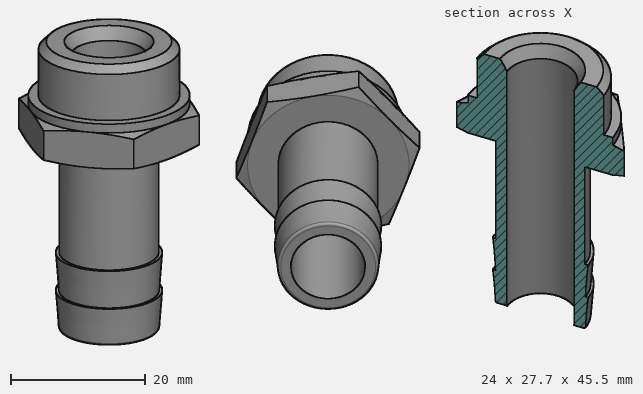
import cadquery as cq
import math

total_length = 45.5
bore_diameter = 11.0

stem_diameter = 14.8
barb_diameter = 15.85
barb_tip_diameter = 14.92
barb_pitch = 6.0
barb_count = 2
tip_fillet = 0.45

hex_across_flats = 24.0
hex_bottom = 29.95
collar_bottom = 35.6
collar_top = 37.0
hex_chamfer_angle = 15.0

thread_diameter = 20.98
thread_chamfer = 1.2
countersink_diameter = 13.3
countersink_angle = 60.0

hex_across_corners = hex_across_flats / math.cos(math.radians(30))
countersink_widening = (countersink_diameter - bore_diameter) / 2
countersink_depth = countersink_widening / math.tan(math.radians(countersink_angle / 2))


def cylinder(diameter, bottom, top):
    return cq.Workplane("XY").workplane(offset=bottom).circle(diameter / 2).extrude(top - bottom)


def cone(bottom_diameter, top_diameter, bottom, top):
    profile = [
        (0, bottom),
        (bottom_diameter / 2, bottom),
        (top_diameter / 2, top),
        (0, top),
    ]
    return cq.Workplane("XZ").polyline(profile).close().revolve(360, (0, 0, 0), (0, 1, 0))


def hexagon():
    """Hexagon with flats facing X, its corners trimmed by a cone at both ends."""
    prism = (
        cq.Workplane("XY")
        .workplane(offset=hex_bottom)
        .transformed(rotate=(0, 0, 90))
        .polygon(6, hex_across_corners)
        .extrude(collar_bottom - hex_bottom)
    )
    flat_radius = hex_across_flats / 2
    corner_radius = hex_across_corners / 2
    corner_drop = (corner_radius - flat_radius) * math.tan(math.radians(hex_chamfer_angle))
    trim_profile = [
        (0, hex_bottom),
        (flat_radius, hex_bottom),
        (corner_radius, hex_bottom + corner_drop),
        (corner_radius, collar_bottom - corner_drop),
        (flat_radius, collar_bottom),
        (0, collar_bottom),
    ]
    trim = cq.Workplane("XZ").polyline(trim_profile).close().revolve(360, (0, 0, 0), (0, 1, 0))
    return prism.intersect(trim)


def barb(index):
    """Conical barb that widens away from the hose end; the first has a rounded tip."""
    bottom = index * barb_pitch
    body = cone(barb_tip_diameter, barb_diameter, bottom, bottom + barb_pitch)
    if index == 0:
        body = body.faces("<Z").edges().fillet(tip_fillet)
    return body


body = cylinder(stem_diameter, barb_pitch, hex_bottom)
for barb_index in range(barb_count):
    body = body.union(barb(barb_index))
body = body.union(hexagon())
body = body.union(cylinder(hex_across_flats, collar_bottom, collar_top))
thread = cylinder(thread_diameter, collar_top, total_length).faces(">Z").chamfer(thread_chamfer)
body = body.union(thread)

body = body.cut(cylinder(bore_diameter, 0, total_length))
countersink_bottom = total_length - countersink_depth
result = body.cut(cone(bore_diameter, countersink_diameter, countersink_bottom, total_length))